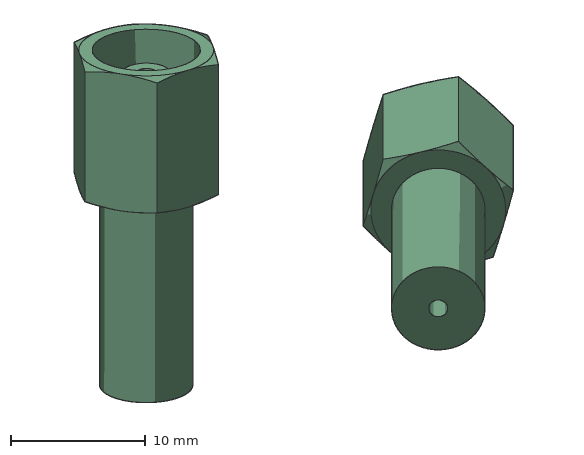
import cadquery as cq
import math

total_length = 26.9
head_sides = 6
across_flats = 10.0
head_length = 11.0
shank_diameter = 6.95
chamfer_angle = 20.0

bore_radius = 4.0
bore_depth = 5.55
seat_floor_radius = 3.2
seat_depth = 0.6

nipple_tip_radius = 1.72
nipple_base_radius = 2.66
nipple_tip_depth = 1.78
through_hole_diameter = 1.4

across_corners = across_flats / math.cos(math.pi / head_sides)
flat_radius = across_flats / 2
corner_radius = across_corners / 2
chamfer_height = (corner_radius - flat_radius) * math.tan(math.radians(chamfer_angle))
head_bottom = total_length - head_length
floor_height = total_length - bore_depth - seat_depth
nipple_height = bore_depth + seat_depth - nipple_tip_depth


def revolve_profile(points):
    """Revolve (radius, height) points around the Z axis."""
    return cq.Workplane("XZ").polyline(points).close().revolve(360, (0, 0), (0, 1))


def hex_head():
    """Hexagon with conical chamfers on the corners at both ends."""
    prism = (
        cq.Workplane("XY")
        .workplane(offset=head_bottom)
        .polygon(head_sides, across_corners)
        .extrude(head_length)
    )
    chamfer_envelope = revolve_profile([
        (0, head_bottom),
        (flat_radius, head_bottom),
        (corner_radius, head_bottom + chamfer_height),
        (corner_radius, total_length - chamfer_height),
        (flat_radius, total_length),
        (0, total_length),
    ])
    return prism.intersect(chamfer_envelope)


def socket():
    """Round bore with a conical seat and a flat floor."""
    return revolve_profile([
        (0, floor_height),
        (seat_floor_radius, floor_height),
        (bore_radius, floor_height + seat_depth),
        (bore_radius, total_length),
        (0, total_length),
    ])


def nipple():
    """Truncated cone that narrows upward from the socket floor."""
    return revolve_profile([
        (0, floor_height),
        (nipple_base_radius, floor_height),
        (nipple_tip_radius, floor_height + nipple_height),
        (0, floor_height + nipple_height),
    ])


shank = cq.Workplane("XY").circle(shank_diameter / 2).extrude(head_bottom)
through_hole = cq.Workplane("XY").circle(through_hole_diameter / 2).extrude(total_length)

result = shank.union(hex_head()).cut(socket()).union(nipple()).cut(through_hole)